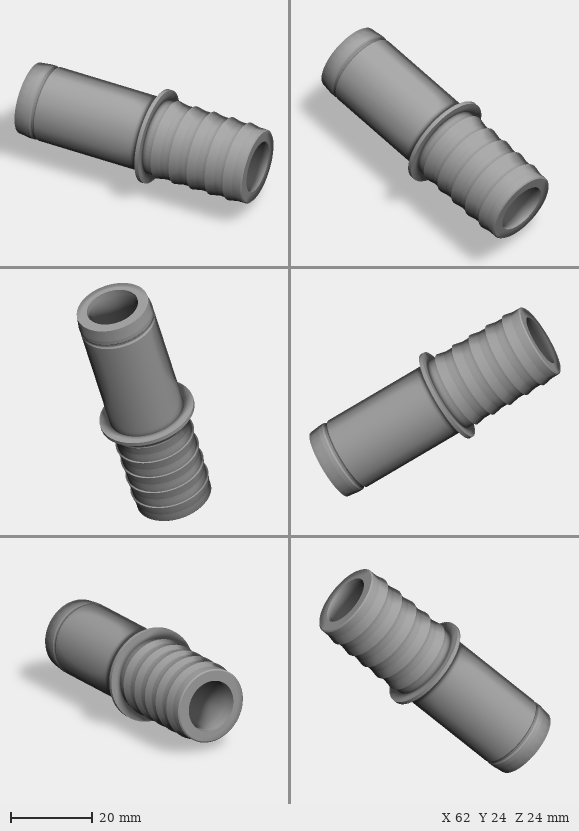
import cadquery as cq

length = 62.0
bore_diameter = 13.0
body_diameter = 19.0
body_radius = body_diameter / 2

nose_diameter = 18.2
nose_length = 3.05
groove_start = 4.1
groove_end = 5.45
groove_side_width = 0.45
groove_depth = 0.4

collar_diameter = 24.0
collar_start = 34.05
collar_thickness = 1.0

barb_count = 5
barb_diameter = 19.95
barb_pitch = 4.9
barb_length = barb_pitch / 2
first_barb_start = collar_start + collar_thickness + barb_length

end_chamfer = 0.3


def revolve_about_x(outline):
    """Turn a closed (x, radius) outline into a solid of revolution about X."""
    return cq.Workplane("XZ").polyline(outline).close().revolve(360, (0, 0, 0), (1, 0, 0))


def make_spigot():
    """Full-length shaft with tapered nose, seal groove and chamfered far end."""
    groove_floor = body_radius - groove_depth
    outline = [
        (0, 0),
        (0, nose_diameter / 2),
        (nose_length, body_radius),
        (groove_start, body_radius),
        (groove_start + groove_side_width, groove_floor),
        (groove_end - groove_side_width, groove_floor),
        (groove_end, body_radius),
        (length - end_chamfer, body_radius),
        (length, body_radius - end_chamfer),
        (length, 0),
    ]
    return revolve_about_x(outline)


def make_collar():
    """Thin round collar that stops the spigot."""
    return (
        cq.Workplane("YZ", origin=(collar_start, 0, 0))
        .circle(collar_diameter / 2)
        .extrude(collar_thickness)
    )


def make_barb(start):
    """One barb: a square step at the start, tapering down to the shaft."""
    outline = [
        (start, 0),
        (start, barb_diameter / 2),
        (start + barb_length, body_radius),
        (start + barb_length, 0),
    ]
    return revolve_about_x(outline)


def make_bore():
    """Straight bore through the whole length."""
    return cq.Workplane("YZ").circle(bore_diameter / 2).extrude(length)


body = make_spigot().union(make_collar())
for index in range(barb_count):
    body = body.union(make_barb(first_barb_start + index * barb_pitch))

result = body.cut(make_bore())